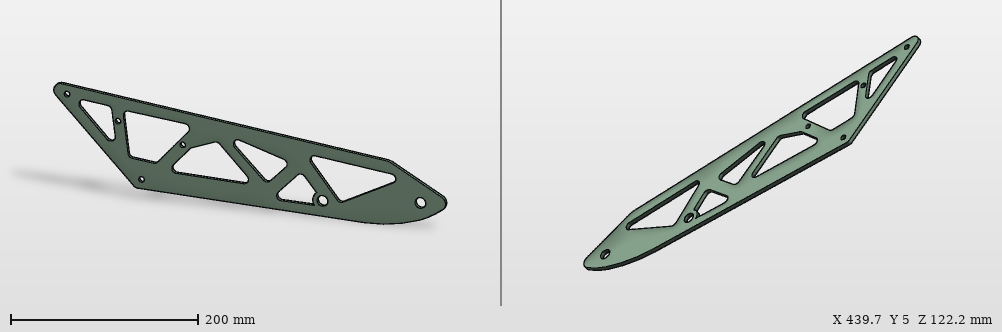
import cadquery as cq

thickness = 5.0
length = 440.0

small_hole_diameter = 6.0
pivot_hole_diameter = 12.0
pivot_collar_radius = 11.0

small_hole_centers = [(15.0, 111.0), (98.5, 23.5), (144.7, 67.0), (72.0, 86.2)]
collar_hole_center = (302.0, 20.0)
nose_hole_center = (412.0, 28.5)

tail_apex = (-13.0, 125.0)
shoulder = (376.5, 71.5)
nose_top = (435.0, 38.0)
nose_tip = (length, 30.5)
nose_bottom = (437.0, 23.5)
belly_bend = (425.5, 16.0)
belly_end = (411.5, 9.2)
belly_middle = (386.3, 2.5)
belly_start = (349.5, 0)
heel = (92.0, 13.0)

tail_radius = 8.0
heel_radius = 6.0
shoulder_radius = 17.5

window_radius = 5.3
windows = [
    [(20.0, 108.2), (64.5, 102.0), (71.3, 52.5)],
    [(77.5, 99.5), (158.0, 89.7), (115.0, 42.5), (84.0, 46.5)],
    [(154.0, 64.2), (184.0, 75.0), (226.0, 29.5), (126.3, 34.8)],
    [(188.5, 85.5), (266.5, 59.5), (239.5, 32.5)],
    [(278.0, 50.0), (243.5, 16.0), (307.0, 13.0)],
    [(281.0, 71.3), (397.0, 55.5), (321.0, 19.0)],
]


def extrude_profile(profile):
    """Extrude an XZ profile towards +Y through the plate thickness."""
    return profile.extrude(-thickness)


def make_blank():
    profile = (
        cq.Workplane("XZ")
        .moveTo(*tail_apex)
        .lineTo(*shoulder)
        .lineTo(*nose_top)
        .threePointArc(nose_tip, nose_bottom)
        .threePointArc(belly_bend, belly_end)
        .threePointArc(belly_middle, belly_start)
        .lineTo(*heel)
        .close()
    )
    blank = extrude_profile(profile)
    blank = round_corner(blank, tail_apex, tail_radius)
    blank = round_corner(blank, heel, heel_radius)
    return round_corner(blank, shoulder, shoulder_radius)


def round_corner(body, corner, radius):
    """Round the edge along Y that passes through the given XZ corner."""
    x, z = corner
    edge = cq.selectors.NearestToPointSelector((x, thickness / 2, z))
    return body.edges("|Y").edges(edge).fillet(radius)


def make_window(corners):
    window = extrude_profile(cq.Workplane("XZ").polyline(corners).close())
    return window.edges("|Y").fillet(window_radius)


def make_discs(centers, diameter):
    return extrude_profile(cq.Workplane("XZ").pushPoints(centers).circle(diameter / 2))


plate = make_blank()
for corners in windows:
    plate = plate.cut(make_window(corners))

plate = plate.union(make_discs([collar_hole_center], 2 * pivot_collar_radius))

plate = plate.cut(make_discs(small_hole_centers, small_hole_diameter))
result = plate.cut(make_discs([collar_hole_center, nose_hole_center], pivot_hole_diameter))